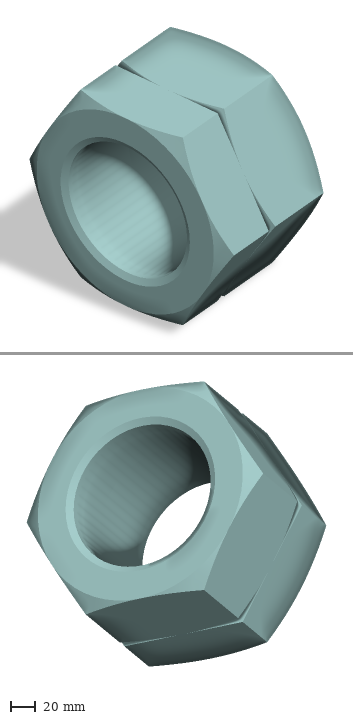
import cadquery as cq
import math

CORNER_WIDTH = 213.6
JAM_NUT_HEIGHT = 52.5
MAIN_NUT_HEIGHT = 78.0
BORE_DIAMETER = 123.7
BORE_MOUTH_DIAMETER = 135.0
SPIGOT_DIAMETER = 153.8
SPIGOT_LENGTH = 26.7
CHAMFER_ANGLE = 30.0

FLAT_WIDTH = CORNER_WIDTH * math.cos(math.radians(30))
CORNER_RADIUS = CORNER_WIDTH / 2
FACE_RADIUS = FLAT_WIDTH / 2
CHAMFER_SLOPE = math.tan(math.radians(CHAMFER_ANGLE))
BEVEL_DEPTH = (CORNER_RADIUS - FACE_RADIUS) * CHAMFER_SLOPE
BORE_RADIUS = BORE_DIAMETER / 2
MOUTH_RADIUS = BORE_MOUTH_DIAMETER / 2
MOUTH_DEPTH = (MOUTH_RADIUS - BORE_RADIUS) * CHAMFER_SLOPE

FRONT_END = -JAM_NUT_HEIGHT
JOINT = 0.0
BACK_END = MAIN_NUT_HEIGHT


def revolve_about_y(profile_points):
    """Solid of revolution about the Y axis from (radius, y) points."""
    profile = cq.Workplane("XY").polyline(profile_points).close()
    return profile.revolve(360, (0, 0, 0), (0, 1, 0))


def prism_plane(back):
    """Workplane whose positive extrusions run from y = back toward -Y."""
    return cq.Workplane("XZ", origin=(0, back, 0))


def hexagon_blank(front, back, bevel_back):
    """Hexagonal prism along Y with bevelled front corners, and back ones on request."""
    hexagon = prism_plane(back).polygon(6, CORNER_WIDTH).extrude(back - front)
    envelope = [(0, front), (FACE_RADIUS, front), (CORNER_RADIUS, front + BEVEL_DEPTH)]
    if bevel_back:
        envelope += [(CORNER_RADIUS, back - BEVEL_DEPTH), (FACE_RADIUS, back)]
    else:
        envelope += [(CORNER_RADIUS, back)]
    envelope += [(0, back)]
    return hexagon.intersect(revolve_about_y(envelope))


def chamfered_bore():
    """Bore through both nuts, widened by a chamfer at the two outer ends."""
    return revolve_about_y([
        (0, FRONT_END),
        (MOUTH_RADIUS, FRONT_END),
        (BORE_RADIUS, FRONT_END + MOUTH_DEPTH),
        (BORE_RADIUS, BACK_END - MOUTH_DEPTH),
        (MOUTH_RADIUS, BACK_END),
        (0, BACK_END),
    ])


def spigot():
    """Cylinder that the jam nut adds and the main nut makes room for."""
    return prism_plane(JOINT + SPIGOT_LENGTH).circle(SPIGOT_DIAMETER / 2).extrude(SPIGOT_LENGTH)


def make_jam_nut():
    """Thin nut, flat where it meets the main nut, with a spigot on that side."""
    blank = hexagon_blank(FRONT_END, JOINT, bevel_back=False)
    return blank.union(spigot()).cut(chamfered_bore()).solids()


def make_main_nut():
    """Thick nut, bevelled at both ends, with a recess for the spigot."""
    blank = hexagon_blank(JOINT, BACK_END, bevel_back=True)
    return blank.cut(spigot()).cut(chamfered_bore()).solids()


jam_nut = make_jam_nut()
main_nut = make_main_nut()

result = cq.Compound.makeCompound([jam_nut.val(), main_nut.val()])